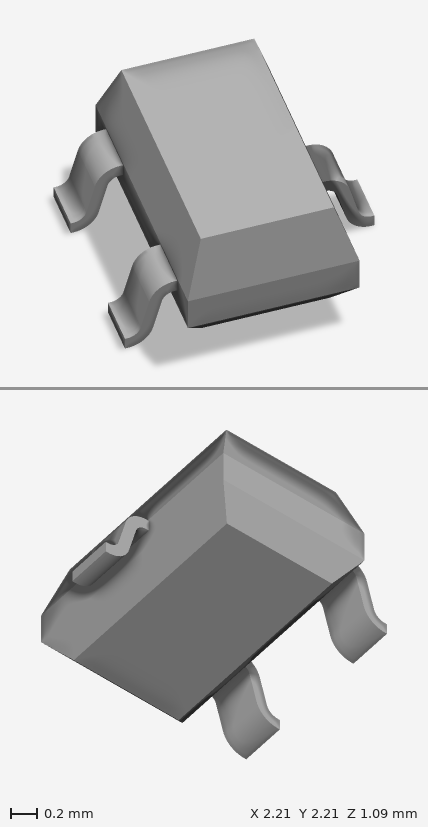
import cadquery as cq
import math

body_length = 2.21
lead_span = 2.21
overall_height = 1.09

body_width = 1.372
body_bottom = 0.104
belt_bottom = 0.327
belt_top = 0.615
crown_inset = 0.155
base_inset = 0.177

lead_width = 0.407
lead_thickness = 0.104
lead_top = 0.597
lead_pitch = 1.3
shoulder_flat = 0.022
foot_flat = 0.022
web_tilt = math.radians(15)

marker_diameter = 0.11
marker_height = 0.01
marker_x = -lead_pitch / 2
marker_y = -0.391


def tapered_block(z_start, z_end, inset):
    """Frustum from the full belt outline at z_start to an inset outline at z_end."""
    return (
        cq.Workplane("XY", origin=(0, 0, z_start))
        .rect(body_length, body_width)
        .workplane(offset=z_end - z_start)
        .rect(body_length - 2 * inset, body_width - 2 * inset)
        .loft(ruled=True)
    )


def make_marker():
    return (
        cq.Workplane("XY", origin=(marker_x, marker_y, overall_height - marker_height))
        .circle(marker_diameter / 2)
        .extrude(marker_height)
    )


def make_housing():
    belt = (
        cq.Workplane("XY", origin=(0, 0, belt_bottom))
        .rect(body_length, body_width)
        .extrude(belt_top - belt_bottom)
    )
    crown = tapered_block(belt_top, overall_height, crown_inset)
    base = tapered_block(belt_bottom, body_bottom, base_inset)
    return belt.union(crown).union(base).cut(make_marker())


def make_lead(x_center):
    """Lead on the -Y side, swept out as an S-shaped strip of constant thickness."""
    run = (lead_span - body_width) / 2 - shoulder_flat - foot_flat
    drop = lead_top - lead_thickness
    mid_radius = (run - drop * math.tan(web_tilt)) * math.cos(web_tilt) / (2 * (1 - math.sin(web_tilt)))
    outer_radius = mid_radius + lead_thickness / 2
    inner_radius = mid_radius - lead_thickness / 2

    body_y = -body_width / 2
    tip_y = -lead_span / 2
    upper_y = body_y - shoulder_flat
    lower_y = tip_y + foot_flat
    upper_center_z = lead_top - outer_radius
    lower_center_z = outer_radius

    bend_middle = (math.pi / 2 + web_tilt) / 2

    def upper_bend(radius, angle):
        return (upper_y - radius * math.cos(angle), upper_center_z + radius * math.sin(angle))

    def lower_bend(radius, angle):
        return (lower_y + radius * math.cos(angle), lower_center_z - radius * math.sin(angle))

    return (
        cq.Workplane("YZ", origin=(x_center - lead_width / 2, 0, 0))
        .moveTo(body_y, lead_top)
        .lineTo(upper_y, lead_top)
        .threePointArc(upper_bend(outer_radius, bend_middle), upper_bend(outer_radius, web_tilt))
        .lineTo(*lower_bend(inner_radius, web_tilt))
        .threePointArc(lower_bend(inner_radius, bend_middle), (lower_y, lead_thickness))
        .lineTo(tip_y, lead_thickness)
        .lineTo(tip_y, 0)
        .lineTo(lower_y, 0)
        .threePointArc(lower_bend(outer_radius, bend_middle), lower_bend(outer_radius, web_tilt))
        .lineTo(*upper_bend(inner_radius, web_tilt))
        .threePointArc(upper_bend(inner_radius, bend_middle), (upper_y, lead_top - lead_thickness))
        .lineTo(body_y, lead_top - lead_thickness)
        .close()
        .extrude(lead_width)
    )


housing = make_housing()
marker = make_marker()
leads = [make_lead(x_center) for x_center in (-lead_pitch / 2, lead_pitch / 2)]
leads.append(make_lead(0).rotate((0, 0, 0), (0, 0, 1), 180))

result = cq.Compound.makeCompound([housing.val(), marker.val(), *[lead.val() for lead in leads]])